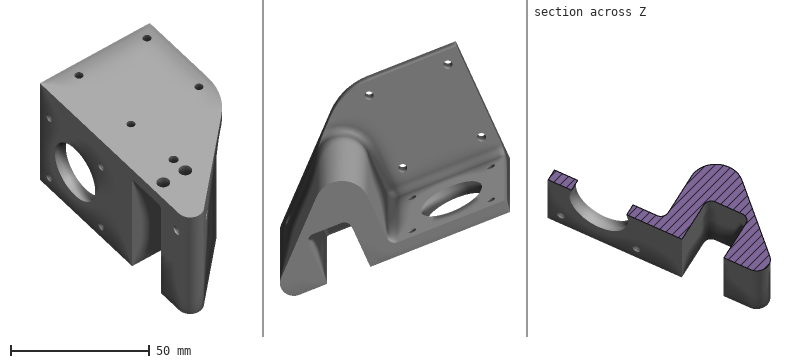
import cadquery as cq
import math

length = 87.9
width = 50.0
height = 50.0
plate_thickness = 5.0
inner_fillet = 3.0

tip_radius = 5.0
shoulder_radius = 25.0
cos_45 = math.sqrt(0.5)
diagonal_sum = length + math.sqrt(2) * tip_radius

block_left = 45.0
block_corner_radius = 10.0

pocket_left = 54.95
pocket_right = 72.0
pocket_depth = 20.0
pocket_corner_radius = 3.0
pocket_top_fillet = 1.3

pattern_spacing = 30.95
pattern_inset = 5.45
screw_diameter = 3.25
bore_diameter = 24.0
pattern_center = pattern_inset + pattern_spacing / 2

mount_x = 66.9
mount_y_positions = (5.0, 15.0)
mount_diameter = 5.0
pin_x = 60.0
pin_diameter = 3.7

cross_hole_x = 81.3
cross_hole_z = 40.0
cross_hole_diameter = 3.6


def box(x_min, x_max, y_max, z_max):
    """Box standing on the bottom plane with its front on y = 0."""
    return cq.Workplane("XY").box(x_max - x_min, y_max, z_max, centered=False).translate((x_min, 0, 0))


def plan_prism():
    """Full-height prism of the plan outline, with rounded shoulder and tip."""
    shoulder_x = diagonal_sum - width
    tangent_length = shoulder_radius * math.tan(math.pi / 8)
    arc_start_x = shoulder_x - tangent_length
    arc_center_y = width - shoulder_radius
    tip_center_x = length - tip_radius
    mid_angle = 3 * math.pi / 8
    return (
        cq.Workplane("XY")
        .moveTo(0, 0)
        .lineTo(tip_center_x, 0)
        .threePointArc(
            (length, tip_radius),
            (tip_center_x + cos_45 * tip_radius, tip_radius + cos_45 * tip_radius),
        )
        .lineTo(shoulder_x + cos_45 * tangent_length, width - cos_45 * tangent_length)
        .threePointArc(
            (
                arc_start_x + shoulder_radius * math.cos(mid_angle),
                arc_center_y + shoulder_radius * math.sin(mid_angle),
            ),
            (arc_start_x, width),
        )
        .lineTo(0, width)
        .close()
        .extrude(height)
    )


def open_space():
    """Material removed below the plate and behind the front wall, with rounded inner edges."""
    ceiling = height - plate_thickness
    center_x = block_left + block_corner_radius
    center_y = diagonal_sum - math.sqrt(2) * block_corner_radius - center_x
    tangent_x = center_x + cos_45 * block_corner_radius
    tangent_y = center_y + cos_45 * block_corner_radius
    mid_angle = 5 * math.pi / 8
    margin = length
    space = (
        cq.Workplane("XY")
        .moveTo(-margin, plate_thickness)
        .lineTo(block_left, plate_thickness)
        .lineTo(block_left, center_y)
        .threePointArc(
            (
                center_x + block_corner_radius * math.cos(mid_angle),
                center_y + block_corner_radius * math.sin(mid_angle),
            ),
            (tangent_x, tangent_y),
        )
        .lineTo(tangent_x + margin, tangent_y - margin)
        .lineTo(tangent_x + margin, margin)
        .lineTo(-margin, margin)
        .close()
        .extrude(ceiling + margin)
        .translate((0, 0, -margin))
    )
    corner = cq.selectors.BoxSelector(
        (block_left - inner_fillet, plate_thickness - inner_fillet, -margin),
        (block_left + inner_fillet, plate_thickness + inner_fillet, ceiling),
    )
    space = space.edges("|Z").edges(corner).fillet(inner_fillet)
    return space.faces(">Z").edges().fillet(inner_fillet)


def pocket():
    """Pocket with rounded rear corners and a small fillet around its ceiling."""
    shape = box(pocket_left, pocket_right, pocket_depth, height - plate_thickness)
    shape = shape.edges("|Z and >Y").fillet(pocket_corner_radius)
    return shape.faces(">Z").edges("not <Y").fillet(pocket_top_fillet)


def plate_holes(points, diameter):
    """Vertical hole cutters through the plate."""
    drill = cq.Workplane("XY").workplane(offset=height - plate_thickness)
    return drill.pushPoints(points).circle(diameter / 2).extrude(plate_thickness)


def front_holes(points, diameter, depth):
    """Hole cutters running back from the front face, at (x, z) points."""
    return cq.Workplane("XZ").pushPoints(points).circle(diameter / 2).extrude(-depth)


pattern_ends = (pattern_inset, pattern_inset + pattern_spacing)
plate_pattern = [(x, width - inset) for x in pattern_ends for inset in pattern_ends]
wall_pattern = [(x, z) for x in pattern_ends for z in pattern_ends]

result = plan_prism().cut(open_space()).cut(pocket())
result = result.cut(plate_holes(plate_pattern, screw_diameter))
result = result.cut(plate_holes([(mount_x, y) for y in mount_y_positions], mount_diameter))
result = result.cut(plate_holes([(pin_x, mount_y_positions[-1])], pin_diameter))
result = result.cut(front_holes(wall_pattern, screw_diameter, plate_thickness))
result = result.cut(front_holes([(pattern_center, pattern_center)], bore_diameter, plate_thickness))
result = result.cut(front_holes([(cross_hole_x, cross_hole_z)], cross_hole_diameter, width))